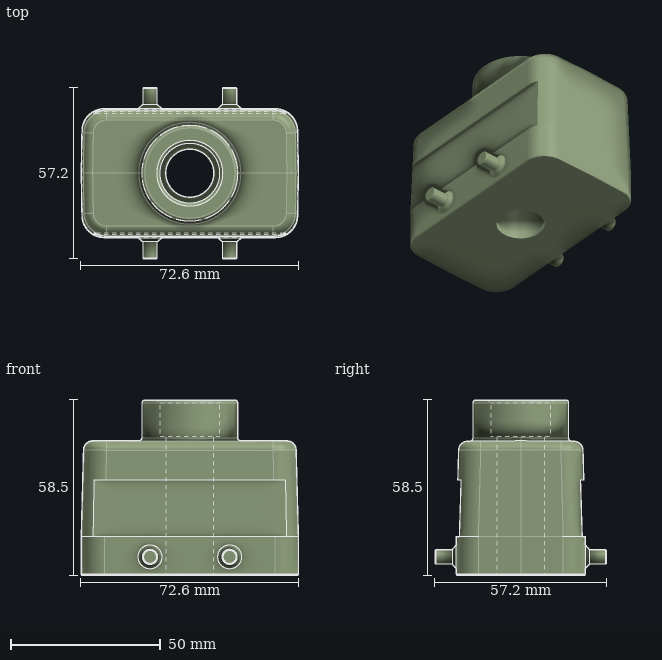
import cadquery as cq
import math

BASE_LENGTH = 72.6
BASE_WIDTH = 43.1
WALL_DRAFT = 1.5
END_DRAFT = 1.0
CORNER_RADIUS = 7.55
SKIRT_HEIGHT = 12.9
ROOF_HEIGHT = 44.95
ROOF_DRAFT = 0.5
ROOF_FILLET = 3.1
FOOT_CHAMFER_HEIGHT = 0.4
FOOT_CHAMFER_DEPTH = 0.2

RECESS_TOP = 31.8
RECESS_HALF_WIDTH_LOW = 20.55
RECESS_HALF_WIDTH_HIGH = 20.0

TOTAL_HEIGHT = 58.5
COLLAR_DIAMETER = 32.0
COLLAR_RIM_FILLET = 0.95
COLLAR_ROOT_FILLET = 1.0
BORE_DIAMETER = 20.0
BORE_CHAMFER = 1.0
BORE_DEPTH = 12.2
THROUGH_DIAMETER = 16.0

PIN_SPACING = 26.6
PIN_HEIGHT = 6.2
PIN_DIAMETER = 4.8
PIN_TIP_SPAN = 57.2
PIN_TIP_CHAMFER_LENGTH = 0.3
PIN_TIP_CHAMFER_DEPTH = 0.2
BOSS_DIAMETER = 8.0
BOSS_TIP_DIAMETER = 5.1
BOSS_LENGTH = 1.3


def peaked_outline():
    """Corner points of the foot: a rectangle whose two ends come to a shallow peak at y = 0."""
    half_length = BASE_LENGTH / 2
    half_width = BASE_WIDTH / 2
    corner_x = half_length - half_width * math.tan(math.radians(END_DRAFT))
    return [
        (half_length, 0),
        (corner_x, half_width),
        (-corner_x, half_width),
        (-half_length, 0),
        (-corner_x, -half_width),
        (corner_x, -half_width),
    ]


def make_skirt():
    """Straight band at the foot of the hood."""
    skirt = cq.Workplane("XY").polyline(peaked_outline()).close().extrude(SKIRT_HEIGHT)
    skirt = skirt.edges("|Z and (<Y or >Y)").fillet(CORNER_RADIUS)
    return skirt.faces("<Z").edges().chamfer(FOOT_CHAMFER_HEIGHT, FOOT_CHAMFER_DEPTH)


def make_recess():
    """Wedge removed from the +Y long side, from the skirt up to the recess top."""
    return (
        cq.Workplane("YZ")
        .polyline([
            (RECESS_HALF_WIDTH_LOW, SKIRT_HEIGHT),
            (BASE_WIDTH, SKIRT_HEIGHT),
            (BASE_WIDTH, RECESS_TOP),
            (RECESS_HALF_WIDTH_HIGH, RECESS_TOP),
        ])
        .close()
        .extrude(BASE_LENGTH / 2, both=True)
    )


def make_upper_body():
    """Tapered part of the hood with its peaked roof, made as the +Y half and mirrored."""
    half_width = BASE_WIDTH / 2
    eaves_height = ROOF_HEIGHT - half_width * math.tan(math.radians(ROOF_DRAFT))

    walls = (
        cq.Workplane("XY", origin=(0, 0, SKIRT_HEIGHT))
        .polyline(peaked_outline())
        .close()
        .extrude(TOTAL_HEIGHT - SKIRT_HEIGHT, taper=WALL_DRAFT)
    )
    corners = walls.edges("not #Z").filter(lambda edge: abs(edge.Center().y) > CORNER_RADIUS)
    walls = corners.fillet(CORNER_RADIUS)

    under_roof = (
        cq.Workplane("YZ")
        .polyline([(0, 0), (half_width, 0), (half_width, eaves_height), (0, ROOF_HEIGHT)])
        .close()
        .extrude(BASE_LENGTH / 2, both=True)
    )
    half = walls.intersect(under_roof)

    roof_edges = half.faces(">Z").edges()
    rim = roof_edges.filter(lambda edge: edge.Center().y > ROOF_FILLET)
    half = rim.fillet(ROOF_FILLET).cut(make_recess())
    return half.union(half.mirror("XZ"))


def make_collar():
    """Collar cylinder with a rounded rim, standing inside the body from the skirt upwards."""
    return (
        cq.Workplane("XY")
        .workplane(offset=SKIRT_HEIGHT)
        .circle(COLLAR_DIAMETER / 2)
        .extrude(TOTAL_HEIGHT - SKIRT_HEIGHT)
        .faces(">Z")
        .edges()
        .fillet(COLLAR_RIM_FILLET)
    )


def make_pin(x, side):
    """Pin with a conical boss at its root, pointing outwards along Y."""
    root = BASE_WIDTH / 2
    boss_end = root + BOSS_LENGTH
    tip = PIN_TIP_SPAN / 2
    pin_radius = PIN_DIAMETER / 2
    inside = root - BOSS_LENGTH
    profile = [
        (0, inside),
        (BOSS_DIAMETER / 2, inside),
        (BOSS_DIAMETER / 2, root),
        (BOSS_TIP_DIAMETER / 2, boss_end),
        (pin_radius, boss_end),
        (pin_radius, tip - PIN_TIP_CHAMFER_LENGTH),
        (pin_radius - PIN_TIP_CHAMFER_DEPTH, tip),
        (0, tip),
    ]
    pin = cq.Workplane("XY").polyline(profile).close().revolve(360, (0, 0, 0), (0, 1, 0))
    if side < 0:
        pin = pin.mirror("XZ")
    return pin.translate((x, 0, PIN_HEIGHT))


def add_collar(body):
    """Collar on the roof, blended into it by a fillet at the root."""
    reach = COLLAR_DIAMETER / 2 + COLLAR_ROOT_FILLET
    around_root = cq.selectors.BoxSelector(
        (-reach, -reach, ROOF_HEIGHT - COLLAR_ROOT_FILLET),
        (reach, reach, ROOF_HEIGHT + COLLAR_ROOT_FILLET),
        boundingbox=True,
    )
    return body.union(make_collar()).edges(around_root).fillet(COLLAR_ROOT_FILLET)


def make_cable_bore():
    """Chamfered bore in the collar, stepping down to a narrower hole right through."""
    bore_radius = BORE_DIAMETER / 2
    ledge_height = TOTAL_HEIGHT - BORE_DEPTH
    profile = [
        (0, 0),
        (THROUGH_DIAMETER / 2, 0),
        (THROUGH_DIAMETER / 2, ledge_height),
        (bore_radius, ledge_height),
        (bore_radius, TOTAL_HEIGHT - BORE_CHAMFER),
        (bore_radius + BORE_CHAMFER, TOTAL_HEIGHT),
        (0, TOTAL_HEIGHT),
    ]
    return cq.Workplane("XZ").polyline(profile).close().revolve(360, (0, 0, 0), (0, 1, 0))


result = add_collar(make_skirt().union(make_upper_body()))
for side in (-1, 1):
    for x in (-PIN_SPACING / 2, PIN_SPACING / 2):
        result = result.union(make_pin(x, side))
result = result.cut(make_cable_bore())